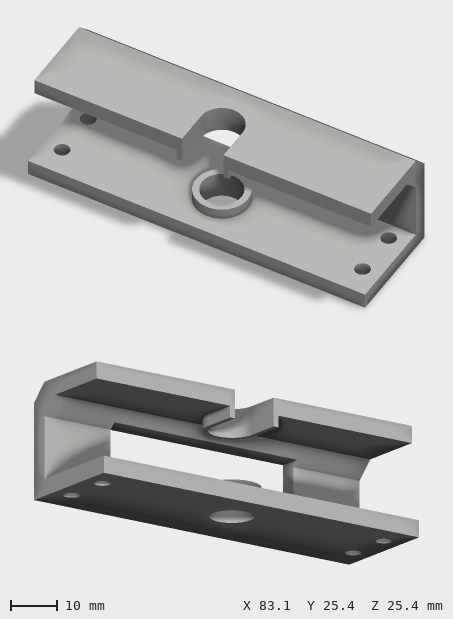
import cadquery as cq

length = 83.1
depth = 25.4
height = 25.4
wall = 3.8
corner_chamfer = 3.8
top_depth = 22.8

window_width = 48.2
window_height = 15.3

boss_diameter = 12.7
boss_height = 2.6
bore_diameter = 9.6
slot_width = 10.2
boss_to_back = 14.7

mount_diameter = 3.6
mount_end_inset = 4.5
mount_front_inset = 6.65
mount_spacing_y = 11.1

front_y = -depth / 2
back_y = depth / 2
top_front_y = back_y - top_depth
boss_y = back_y - boss_to_back
ceiling_z = height - wall
inner_back_y = back_y - wall


def channel():
    """C-shaped section with a chamfered upper back corner, inside and out."""
    profile = [
        (front_y, 0),
        (back_y, 0),
        (back_y, height - corner_chamfer),
        (back_y - corner_chamfer, height),
        (top_front_y, height),
        (top_front_y, ceiling_z),
        (inner_back_y - corner_chamfer, ceiling_z),
        (inner_back_y, ceiling_z - corner_chamfer),
        (inner_back_y, wall),
        (front_y, wall),
    ]
    return cq.Workplane("YZ").polyline(profile).close().extrude(length / 2, both=True)


def front_open_u(width, bottom_z, thickness):
    """Solid rounded about the boss axis and running straight to the top plate's front edge."""
    radius = width / 2
    return (
        cq.Workplane("XY", origin=(0, 0, bottom_z))
        .moveTo(-radius, top_front_y)
        .lineTo(-radius, boss_y)
        .threePointArc((0, boss_y + radius), (radius, boss_y))
        .lineTo(radius, top_front_y)
        .close()
        .extrude(thickness)
    )


def window():
    """Cutter for the back wall, starting at the base's upper face."""
    return cq.Workplane("XY", origin=(0, inner_back_y, wall)).box(
        window_width, 2 * (wall + corner_chamfer), window_height, centered=(True, True, False)
    )


def base_ring():
    return cq.Workplane("XY", origin=(0, boss_y, wall)).circle(boss_diameter / 2).extrude(boss_height)


def base_bore():
    return cq.Workplane("XY", origin=(0, boss_y, 0)).circle(bore_diameter / 2).extrude(wall + boss_height)


def mounting_holes():
    mount_y = front_y + mount_front_inset + mount_spacing_y / 2
    return (
        cq.Workplane("XY", origin=(0, mount_y, 0))
        .rarray(length - 2 * mount_end_inset, mount_spacing_y, 2, 2)
        .circle(mount_diameter / 2)
        .extrude(wall)
    )


boss_bottom_z = ceiling_z - boss_height
slot_depth = wall + boss_height

result = (
    channel()
    .cut(window())
    .union(base_ring())
    .union(front_open_u(boss_diameter, boss_bottom_z, boss_height))
    .cut(front_open_u(slot_width, boss_bottom_z, slot_depth))
    .cut(base_bore())
    .cut(mounting_holes())
)